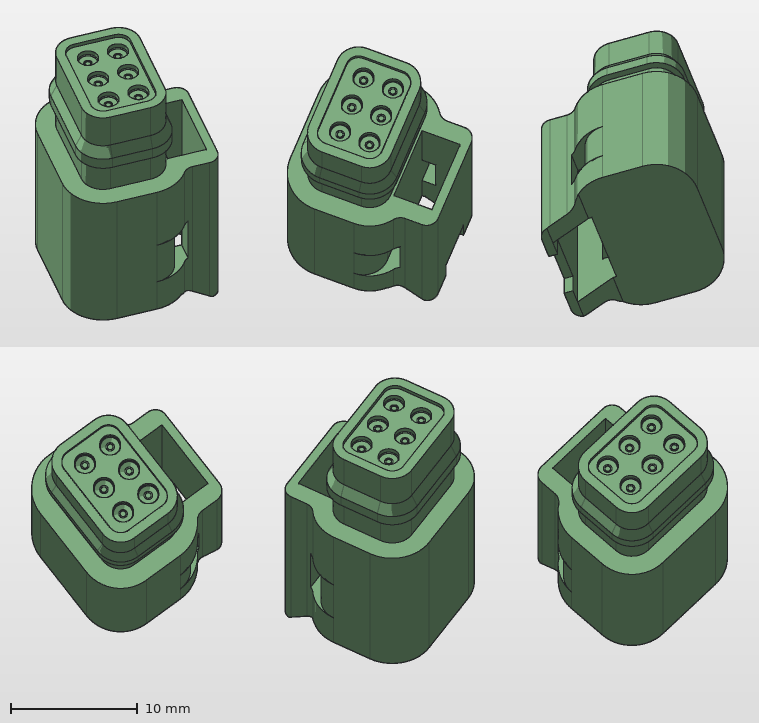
import cadquery as cq
import math

FLAT_X = 6.02
FLAT_Y = 3.35

BODY_RADIUS = 3.4
PLUG_RADIUS = 1.8
COLLAR_RADIUS = 2.3
RECESS_RADIUS = 1.0

CORE_RADIUS = 2.05

TOTAL_DEPTH = 12.75

TOTAL_HEIGHT = 22.45
BODY_BOTTOM = 2.0
BODY_TOP = 14.68
COLLAR_BOTTOM = 17.45
COLLAR_TOP = 19.42
COLLAR_SLOPE_HEIGHT = 0.99

HOUSING_WIDTH = 9.02
HOUSING_BACK_Y = TOTAL_DEPTH - FLAT_Y / 2 - BODY_RADIUS
HOUSING_CORNER_RADIUS = 0.99
HOUSING_BLEND_RADIUS = 0.99
BACK_WALL = 0.75
LEG_GAP = 3.73
LEG_SLOPE_START_Y = 4.0

WINDOW_BOTTOM = 4.96
WINDOW_TOP = 8.94
WINDOW_BACK_Y = 4.87

RECESS_DEPTH = 0.34
CAVITY_PITCH = 2.5
CAVITY_COLUMNS = 3
CAVITY_ROWS = 2
CAVITY_CENTER_Y = 0.2
CAVITY_DIAMETER = 1.66
CAVITY_DEPTH = 0.4
CAVITY_CHAMFER_DEPTH = 0.1
FUNNEL_DIAMETER = 1.53
FUNNEL_DEPTH = 0.07
DIMPLE_DIAMETER = 0.67
DIMPLE_DEPTH = 0.02
DIMPLE_TIP_DIAMETER = 0.45
DIMPLE_TIP_DEPTH = 0.02


def rounded_block(corner_radius, bottom, top, flat_x=FLAT_X):
    """Upright block whose outline is the straight lengths plus the given corner radius."""
    return (
        cq.Workplane("XY", origin=(0, 0, bottom))
        .rect(flat_x + 2 * corner_radius, FLAT_Y + 2 * corner_radius)
        .extrude(top - bottom)
        .edges("|Z")
        .fillet(corner_radius)
    )


def housing_block():
    """Latch housing, blended into the body corners and running down to the leg ends."""
    half_width = HOUSING_WIDTH / 2
    corner_x = FLAT_X / 2
    corner_y = FLAT_Y / 2

    blend_x = half_width + HOUSING_BLEND_RADIUS
    center_distance = BODY_RADIUS + HOUSING_BLEND_RADIUS
    blend_y = corner_y + math.sqrt(center_distance**2 - (blend_x - corner_x) ** 2)
    touch_ratio = BODY_RADIUS / center_distance
    touch_x = corner_x + touch_ratio * (blend_x - corner_x)
    touch_y = corner_y + touch_ratio * (blend_y - corner_y)

    side_end_y = HOUSING_BACK_Y - HOUSING_CORNER_RADIUS
    back_half = half_width - HOUSING_CORNER_RADIUS
    corner_mid_angle = math.atan2(touch_y - corner_y, touch_x - corner_x) / 2
    mid_x = corner_x + BODY_RADIUS * math.cos(corner_mid_angle)
    mid_y = corner_y + BODY_RADIUS * math.sin(corner_mid_angle)
    side_x = corner_x + BODY_RADIUS
    return (
        cq.Workplane("XY")
        .moveTo(side_x, corner_y)
        .threePointArc((mid_x, mid_y), (touch_x, touch_y))
        .radiusArc((half_width, blend_y), HOUSING_BLEND_RADIUS)
        .lineTo(half_width, side_end_y)
        .radiusArc((back_half, HOUSING_BACK_Y), -HOUSING_CORNER_RADIUS)
        .lineTo(-back_half, HOUSING_BACK_Y)
        .radiusArc((-half_width, side_end_y), -HOUSING_CORNER_RADIUS)
        .lineTo(-half_width, blend_y)
        .radiusArc((-touch_x, touch_y), HOUSING_BLEND_RADIUS)
        .threePointArc((-mid_x, mid_y), (-side_x, corner_y))
        .close()
        .extrude(BODY_TOP)
    )


def below_legs():
    """Material removed under the body so that only the sloped legs remain."""
    channel_back_y = HOUSING_BACK_Y - BACK_WALL
    return (
        cq.Workplane("YZ")
        .moveTo(0, 0)
        .lineTo(channel_back_y, 0)
        .lineTo(LEG_SLOPE_START_Y, BODY_BOTTOM)
        .lineTo(0, BODY_BOTTOM)
        .close()
        .extrude(FLAT_X / 2 + BODY_RADIUS, both=True)
    )


def latch_channel():
    """Vertical channel between the core and the back wall, open at both ends."""
    front_y = FLAT_Y / 2 + CORE_RADIUS
    depth = HOUSING_BACK_Y - BACK_WALL - front_y
    return cq.Workplane("XY").center(0, front_y + depth / 2).rect(FLAT_X, depth).extrude(BODY_TOP)


def leg_gap():
    """Opening in the back wall that separates the two legs."""
    return (
        cq.Workplane("XY")
        .center(0, HOUSING_BACK_Y / 2)
        .rect(LEG_GAP, HOUSING_BACK_Y)
        .extrude(BODY_BOTTOM)
    )


def side_windows():
    """Windows through both side walls, stopping at a rounded core as wide as the body."""
    front_y = FLAT_Y / 2
    depth = WINDOW_BACK_Y - front_y
    opening = (
        cq.Workplane("XY", origin=(0, front_y + depth / 2, WINDOW_BOTTOM))
        .rect(FLAT_X + 2 * BODY_RADIUS, depth)
        .extrude(WINDOW_TOP - WINDOW_BOTTOM)
    )
    core_flat_x = FLAT_X + 2 * (BODY_RADIUS - CORE_RADIUS)
    return opening.cut(rounded_block(CORE_RADIUS, WINDOW_BOTTOM, WINDOW_TOP, core_flat_x))


def sealing_collar():
    """Collar around the plug with a sloped upper part."""
    return (
        rounded_block(COLLAR_RADIUS, COLLAR_BOTTOM, COLLAR_TOP)
        .faces(">Z")
        .chamfer(COLLAR_SLOPE_HEIGHT, COLLAR_RADIUS - PLUG_RADIUS)
    )


def contact_cavities():
    """Stepped cavities, each with a shallow funnel leading to a stepped dimple."""
    mouth_z = TOTAL_HEIGHT - RECESS_DEPTH
    wall_z = mouth_z - CAVITY_DEPTH
    ledge_z = wall_z - CAVITY_CHAMFER_DEPTH
    funnel_z = ledge_z - FUNNEL_DEPTH
    dimple_z = funnel_z - DIMPLE_DEPTH
    tip_z = dimple_z - DIMPLE_TIP_DEPTH
    cavity = (
        cq.Workplane("XZ")
        .moveTo(0, mouth_z)
        .lineTo(CAVITY_DIAMETER / 2, mouth_z)
        .lineTo(CAVITY_DIAMETER / 2, wall_z)
        .lineTo(FUNNEL_DIAMETER / 2, ledge_z)
        .lineTo(DIMPLE_DIAMETER / 2, funnel_z)
        .lineTo(DIMPLE_DIAMETER / 2, dimple_z)
        .lineTo(DIMPLE_TIP_DIAMETER / 2, dimple_z)
        .lineTo(DIMPLE_TIP_DIAMETER / 2, tip_z)
        .lineTo(0, tip_z)
        .close()
        .revolve(360, (0, 0, 0), (0, 1, 0))
    )
    return (
        cq.Workplane("XY", origin=(0, CAVITY_CENTER_Y, 0))
        .rarray(CAVITY_PITCH, CAVITY_PITCH, CAVITY_COLUMNS, CAVITY_ROWS)
        .eachpoint(lambda place: cavity.val().moved(place))
    )


body = rounded_block(BODY_RADIUS, BODY_BOTTOM, BODY_TOP).union(housing_block().cut(below_legs()))
body = body.cut(latch_channel()).cut(leg_gap()).cut(side_windows())

plug = rounded_block(PLUG_RADIUS, BODY_TOP, TOTAL_HEIGHT).union(sealing_collar())
plug = plug.cut(rounded_block(RECESS_RADIUS, TOTAL_HEIGHT - RECESS_DEPTH, TOTAL_HEIGHT))
plug = plug.cut(contact_cavities())

result = body.union(plug)